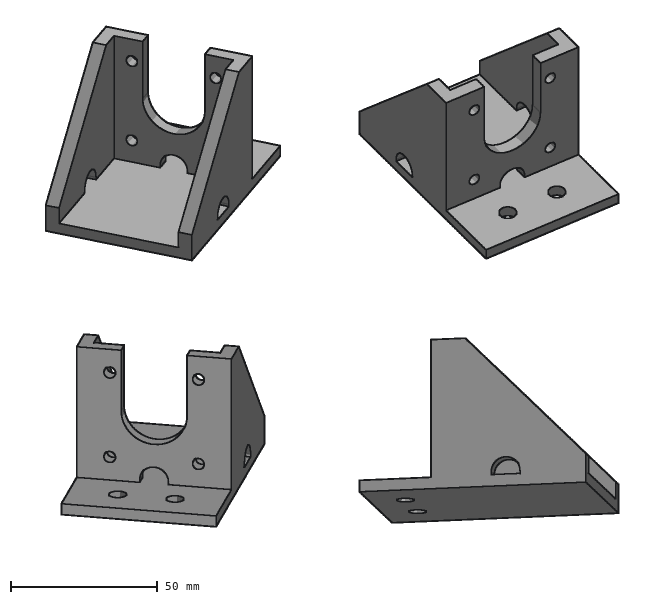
import cadquery as cq

width = 54.0
length = 79.0
height = 52.0

wall = 5.0
floor = 4.0
flange_length = 25.0
front_lip_height = 10.0
top_flat_length = 12.0

slot_width = 23.0
slot_center_z = 29.9
motor_hole_diameter = 4.0
motor_hole_spacing = 31.0
motor_hole_center_z = 28.0

flange_hole_diameter = 6.0
flange_hole_spacing = 20.0
flange_hole_center_y = length - flange_length / 2

arch_width = 10.0
arch_height = 6.0
side_arch_y = 28.0

upright_back_y = length - flange_length
upright_front_y = upright_back_y - wall


def make_body():
    """Sloped-side body with its interior removed above the floor."""
    profile = [
        (0, 0),
        (length, 0),
        (length, floor),
        (upright_back_y, floor),
        (upright_back_y, height),
        (upright_back_y - top_flat_length, height),
        (0, front_lip_height),
    ]
    body = cq.Workplane("YZ").polyline(profile).close().extrude(width / 2, both=True)
    interior = cq.Workplane("XY").box(
        width - 2 * wall, upright_front_y, height, centered=(True, False, False)
    )
    return body.cut(interior.translate((0, 0, floor)))


def arch_outline(plane, center, base, opening_width, opening_height):
    """Round-topped opening with vertical sides and a flat base."""
    radius = opening_width / 2
    spring = base + opening_height - radius
    return (
        cq.Workplane(plane)
        .moveTo(center - radius, base)
        .lineTo(center - radius, spring)
        .threePointArc((center, base + opening_height), (center + radius, spring))
        .lineTo(center + radius, base)
        .close()
    )


def make_motor_slot():
    """U-shaped slot through the upright wall, open at the top."""
    radius = slot_width / 2
    return (
        cq.Workplane("XZ")
        .moveTo(-radius, height)
        .lineTo(-radius, slot_center_z)
        .threePointArc((0, slot_center_z - radius), (radius, slot_center_z))
        .lineTo(radius, height)
        .close()
        .extrude(-length)
    )


def make_motor_holes():
    """Four screw holes in a square pattern through the upright wall."""
    return (
        cq.Workplane("XZ", origin=(0, 0, motor_hole_center_z))
        .rect(motor_hole_spacing, motor_hole_spacing, forConstruction=True)
        .vertices()
        .circle(motor_hole_diameter / 2)
        .extrude(-length)
    )


def make_flange_holes():
    """Pair of vertical mounting holes through the rear flange."""
    half_spacing = flange_hole_spacing / 2
    return (
        cq.Workplane("XY", origin=(0, flange_hole_center_y, 0))
        .pushPoints([(-half_spacing, 0), (half_spacing, 0)])
        .circle(flange_hole_diameter / 2)
        .extrude(floor)
    )


rear_arch = arch_outline("XZ", 0, floor, arch_width, arch_height).extrude(-length)
side_arches = arch_outline("YZ", side_arch_y, floor, arch_width, arch_height).extrude(width / 2, both=True)

result = (
    make_body()
    .cut(make_motor_slot())
    .cut(make_motor_holes())
    .cut(make_flange_holes())
    .cut(rear_arch)
    .cut(side_arches)
)